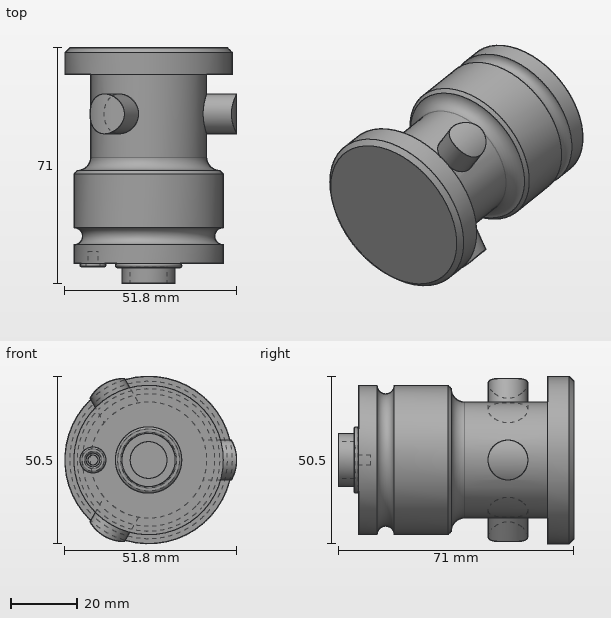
import cadquery as cq
import math

body_length = 65.0
body_radius = 22.5
neck_radius = 35.0 / 2
neck_fillet = 4.0
shoulder_y = 28.0
groove_radius = 2.55
groove_y = 8.2

flange_radius = 50.5 / 2
flange_thickness = 8.0
flange_chamfer = 1.5

lug_count = 3
lug_radius = 12.0 / 2
lug_y = 45.0
lug_reach = 26.55
lug_end_radius = 2 * lug_radius

spigot_radius = 8.0
spigot_length = 6.0
bore_radius = 5.55
bore_depth = 5.0
collar_radius = 10.0
collar_inner_radius = 7.75
collar_height = 1.35

ring_x = -16.75
ring_radius = 3.9
ring_inner_radius = 2.05
ring_height = 1.1
ring_hole_radius = 1.5
ring_hole_depth = 3.55


def cylinder_y(radius, y_start, y_end, x=0):
    """Solid cylinder along Y between two Y positions."""
    axis = cq.Vector(0, 1, 0)
    base = cq.Vector(x, y_start, 0)
    return cq.Workplane(cq.Solid.makeCylinder(radius, y_end - y_start, base, axis))


def turned_body():
    """Body, groove, filleted neck and flange as one revolved outline."""
    flange_front = body_length - flange_thickness
    fillet_outer = neck_radius + neck_fillet
    shoulder_chamfer = body_radius - fillet_outer
    fillet_diagonal = neck_fillet * math.sqrt(0.5)
    fillet_end_y = shoulder_y + neck_fillet
    return (
        cq.Workplane("XY")
        .moveTo(0, 0)
        .lineTo(body_radius, 0)
        .lineTo(body_radius, groove_y - groove_radius)
        .threePointArc(
            (body_radius - groove_radius, groove_y),
            (body_radius, groove_y + groove_radius),
        )
        .lineTo(body_radius, shoulder_y - shoulder_chamfer)
        .lineTo(fillet_outer, shoulder_y)
        .threePointArc(
            (fillet_outer - fillet_diagonal, fillet_end_y - fillet_diagonal),
            (neck_radius, fillet_end_y),
        )
        .lineTo(neck_radius, flange_front)
        .lineTo(flange_radius, flange_front)
        .lineTo(flange_radius, body_length - flange_chamfer)
        .lineTo(flange_radius - flange_chamfer, body_length)
        .lineTo(0, body_length)
        .close()
        .revolve(360, (0, 0, 0), (0, 1, 0))
    )


def lug(angle):
    """Round lug pointing along +X, turned by an angle about Y."""
    end_centre = lug_reach - lug_end_radius
    stem = (
        cq.Workplane("YZ")
        .center(lug_y, 0)
        .circle(lug_radius)
        .extrude(lug_reach)
    )
    y_range = (lug_y - lug_radius, lug_y + lug_radius)
    rounded_end = cylinder_y(lug_end_radius, *y_range, x=end_centre)
    inner_block = (
        cq.Workplane("XY")
        .box(end_centre, 2 * lug_radius, 2 * lug_radius)
        .translate((end_centre / 2, lug_y, 0))
    )
    envelope = rounded_end.union(inner_block)
    return stem.intersect(envelope).rotate((0, 0, 0), (0, 1, 0), angle)


def raised_ring(outer, inner, height, x=0):
    """Ring on the front face whose inner and outer sides are full half-rounds."""
    side_radius = height / 2
    return (
        cq.Workplane("XY")
        .moveTo(outer - side_radius, 0)
        .threePointArc((outer, -side_radius), (outer - side_radius, -height))
        .lineTo(inner + side_radius, -height)
        .threePointArc((inner, -side_radius), (inner + side_radius, 0))
        .close()
        .revolve(360, (0, 0, 0), (0, 1, 0))
        .translate((x, 0, 0))
    )


result = turned_body()
for index in range(lug_count):
    result = result.union(lug(index * 360 / lug_count))

result = result.union(raised_ring(collar_radius, collar_inner_radius, collar_height))
result = result.union(cylinder_y(spigot_radius, -spigot_length, 0))
result = result.cut(cylinder_y(bore_radius, -spigot_length, bore_depth - spigot_length))

result = result.union(raised_ring(ring_radius, ring_inner_radius, ring_height, ring_x))
result = result.cut(cylinder_y(ring_hole_radius, 0, ring_hole_depth, ring_x))